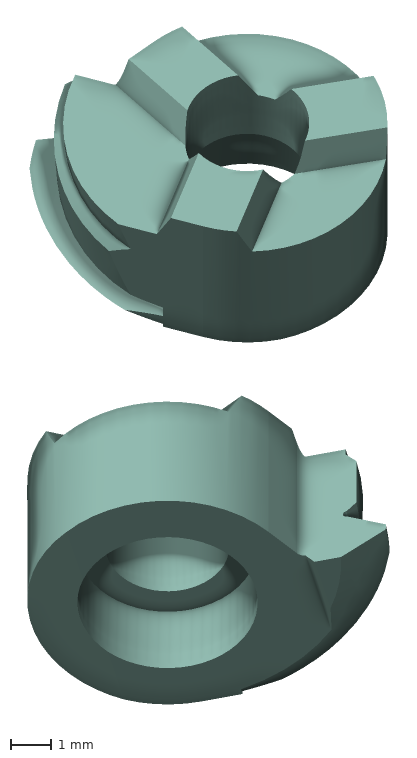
import cadquery as cq
import math

core_radius = 3.501
bore_radius = 3.1 / 2
counterbore_radius = 4.5 / 2
counterbore_depth = 2.05
floor_z = 3.6
bottom_relief_start_x = 1.86
bottom_relief_angle = 3.0

lug_height = 0.78
lug_top_half_width = 0.85
lug_bottom_half_width = 1.22
lug_angles = (-90, 30, 150)

cutting_face_y = 0.73
corner_fillet = 0.28
turning_axis_x = -0.43
turning_axis_y = 1.07
axis_tilt = 9.0
core_flat_x = -1.05

upper_neck_radius = 4.34
neck_radius = 4.61
step_top = 3.42
step_bottom = 3.125
neck_bottom = 1.64
groove_radius = 4.36
groove_top = 1.39
groove_bottom = 1.2
crest_radius = 5.38
upper_flank_run = 1.88

lower_flank_axis_x = -0.14
lower_flank_axis_y = 1.63
lower_flank_radius = 5.04
lower_flank_run = 1.6

rib_depth = 0.28
rib_bottom_x = -3.96
rib_top_x = -3.74

parting_x = -4.69
parting_lean = 5.0
tip_top_z = 1.13

reach = 9.3


def make_core():
    """Round core with a flat front corner where the groove and the tooth run out."""
    corner = (
        cq.Workplane("XY")
        .box(-core_flat_x, core_radius, floor_z, centered=False)
        .translate((core_flat_x, -core_radius, 0))
    )
    return cq.Workplane("XY").circle(core_radius).extrude(floor_z).union(corner)


def make_outline_block(top_z):
    """Sector between the cutting face and the flat, with the shoulder tangent to the core."""
    shoulder = math.radians(150)
    tangent_point = (core_radius * math.cos(shoulder), core_radius * math.sin(shoulder))
    corner_x = (core_radius - cutting_face_y * math.sin(shoulder)) / math.cos(shoulder)
    return (
        cq.Workplane("XY", origin=(0, 0, -rib_depth))
        .polyline([
            (0, 0),
            (0, -core_radius),
            (-reach, -core_radius),
            (-reach, cutting_face_y),
            (corner_x, cutting_face_y),
            tangent_point,
        ])
        .close()
        .extrude(top_z + rib_depth)
        .edges(cq.selectors.NearestToPointSelector((corner_x, cutting_face_y, floor_z / 2)))
        .fillet(corner_fillet)
    )


def make_turned_form():
    """Neck, root groove and upper tooth flank, turned about the tilted axis."""
    crest_z = groove_bottom - (crest_radius - groove_radius) / upper_flank_run
    groove_middle = (groove_radius - (groove_top - groove_bottom) / 2, (groove_top + groove_bottom) / 2)
    profile = (
        cq.Workplane("XZ")
        .moveTo(0, -reach)
        .lineTo(crest_radius, -reach)
        .lineTo(crest_radius, crest_z)
        .lineTo(groove_radius, groove_bottom)
        .threePointArc(groove_middle, (groove_radius, groove_top))
        .lineTo(neck_radius, neck_bottom)
        .lineTo(neck_radius, step_bottom)
        .lineTo(upper_neck_radius, step_top)
        .lineTo(upper_neck_radius, reach)
        .lineTo(0, reach)
        .close()
    )
    return (
        profile.revolve(360, (0, 0, 0), (0, 1, 0))
        .rotate((0, 0, 0), (1, 0, 0), axis_tilt)
        .translate((turning_axis_x, turning_axis_y, 0))
    )


def make_lower_flank_form():
    """Upright cone that widens upward and bounds the underside of the tooth."""
    bottom_radius = lower_flank_radius - rib_depth * lower_flank_run
    top_radius = lower_flank_radius + floor_z * lower_flank_run
    return (
        cq.Workplane("XZ")
        .polyline([(0, -rib_depth), (bottom_radius, -rib_depth), (top_radius, floor_z), (0, floor_z)])
        .close()
        .revolve(360, (0, 0, 0), (0, 1, 0))
        .translate((lower_flank_axis_x, lower_flank_axis_y, 0))
    )


def make_underside_limit():
    """Space above the bottom face, plus the rib that hangs below it along the tooth."""
    above = cq.Workplane("XY").box(2 * reach, 2 * reach, reach, centered=(True, True, False))
    rib = (
        cq.Workplane("XZ", origin=(0, cutting_face_y, 0))
        .polyline([(-reach, -rib_depth), (rib_bottom_x, -rib_depth), (rib_top_x, 0), (-reach, 0)])
        .close()
        .extrude(reach)
    )
    return above.union(rib)


def make_tip_limit():
    """Space outside the parting plane and below the root of the tooth."""
    lean = math.tan(math.radians(parting_lean))
    top_x = parting_x - tip_top_z * lean
    bottom_x = parting_x + rib_depth * lean
    return (
        cq.Workplane("XZ", origin=(0, cutting_face_y, 0))
        .polyline([(-reach, -rib_depth), (bottom_x, -rib_depth), (top_x, tip_top_z), (-reach, tip_top_z)])
        .close()
        .extrude(reach)
    )


def make_lug(angle):
    """Radial lug with sloping sides, from the axis outward."""
    return (
        cq.Workplane("YZ")
        .polyline([
            (-lug_bottom_half_width, floor_z),
            (lug_bottom_half_width, floor_z),
            (lug_top_half_width, floor_z + lug_height),
            (-lug_top_half_width, floor_z + lug_height),
        ])
        .close()
        .extrude(reach)
        .rotate((0, 0, 0), (0, 0, 1), angle)
    )


def make_lugs():
    """Three lugs trimmed to the core, the tangent shoulder and the flat."""
    height = floor_z + lug_height
    envelope = (
        cq.Workplane("XY")
        .circle(core_radius)
        .extrude(height)
        .union(make_outline_block(height))
    )
    return [make_lug(angle).intersect(envelope) for angle in lug_angles]


def make_bottom_relief():
    """Shallow wedge off the bottom face on the side away from the tooth."""
    rise = (reach - bottom_relief_start_x) * math.tan(math.radians(bottom_relief_angle))
    return (
        cq.Workplane("XZ", origin=(0, reach, 0))
        .polyline([(bottom_relief_start_x, 0), (reach, 0), (reach, rise)])
        .close()
        .extrude(2 * reach)
    )


cutting_side = (
    make_outline_block(floor_z)
    .intersect(make_turned_form())
    .intersect(make_lower_flank_form())
    .intersect(make_underside_limit())
)
tip_limit = make_tip_limit()
tip = cutting_side.intersect(tip_limit)

holder = make_core().union(cutting_side.cut(tip_limit))
for lug in make_lugs():
    holder = holder.union(lug)
bore = cq.Workplane("XY").circle(bore_radius).extrude(reach)
counterbore = cq.Workplane("XY").circle(counterbore_radius).extrude(counterbore_depth)
holder = holder.cut(bore).cut(counterbore).cut(make_bottom_relief())

result = cq.Compound.makeCompound([holder.val(), tip.val()])